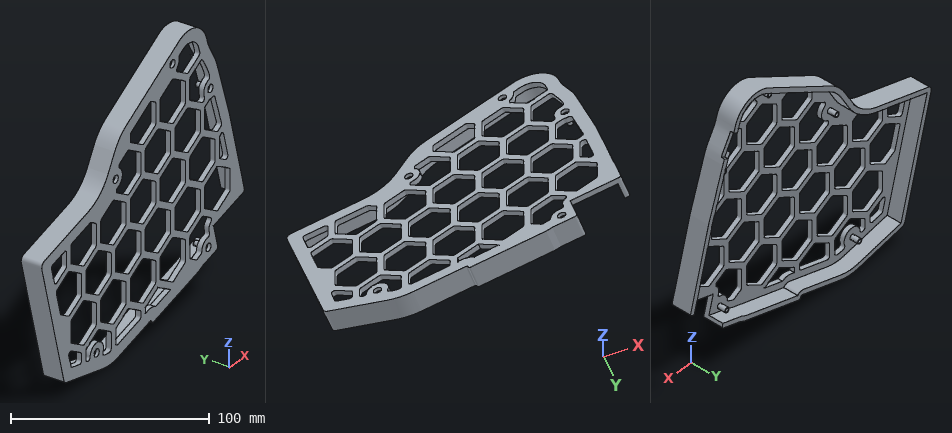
import cadquery as cq
import math

case_depth = 12.7
wall = 3.2
plate_thickness = 3.2
corner_radius = 1.6
case_tilt = 15.0

left_u = -86.2
right_u = 78.25
shoulder_v = 28.8
lower_left_v = -51.9
bend_u = -48.9
step_u = -11.3
step_v = -71.0
bottom_v = -73.5
foot_v = -72.8
foot_ramp_start_u = 32.0
foot_ramp_end_u = 35.5
right_kink_v = -4.4
left_corner_radius = 3.2
sweep_radius = 29.0
crown_radius = 17.1
bottom_bend_radius = 30.0
step_radius = 1.0
port_top_radius = 26.0
port_bottom_radius = 36.0

crown_slope = 15.0
rise_start_u = -30.8
rise_end_u = -8.4
rise_end_v = shoulder_v + rise_end_u - rise_start_u
crown_u = 72.4
crown_v = rise_end_v + (crown_u - rise_end_u) * math.tan(math.radians(crown_slope))

port_top = (crown_u, 47.1)
port_bottom = (76.1, 33.2)
port_depth = 2.2

cutout_u = 49.63
cutout_v = -57.4
cutout_margin = 4.3

cell_pitch = 26.37
cell_flats = 22.4
hexagon_turn = 30.0
cell_origin = (0.1, 0.2)
row_pitch = cell_pitch * math.sqrt(3) / 2
border = 7.5
cell_rows = [
    (-3, -3, 4),
    (-2, -2, 5),
    (-1, -3, 6),
    (0, -3, 7),
    (1, -1, 4),
    (2, 0, 3),
    (3, 1, 1),
]
sharp_cell = (-3, 0)

screw_places = [(-41.1, -68.1), (58.1, -52.9), (26.2, 67.6), (59.9, 37.9), (-24.2, 24.3)]
screw_hole = 2.2
screw_head = 4.4
screw_head_depth = 2.0
screw_post = 3.2
screw_post_end = 8.3
screw_boss_radius = 6.0


def tilted(u, v):
    """Turn a point from case coordinates to part X, Z."""
    angle = math.radians(case_tilt)
    return (u * math.cos(angle) - v * math.sin(angle), u * math.sin(angle) + v * math.cos(angle))


def rounded_outline(corners):
    """Closed outline through (u, v, radius) corners; radius 0 leaves the corner sharp."""
    stretches = []
    for i, (u, v, radius) in enumerate(corners):
        corner = cq.Vector(u, v)
        if radius == 0:
            stretches.append([corner])
            continue
        before = (cq.Vector(*corners[i - 1][:2]) - corner).normalized()
        after = (cq.Vector(*corners[(i + 1) % len(corners)][:2]) - corner).normalized()
        half_angle = before.getAngle(after) / 2
        setback = radius / math.tan(half_angle)
        bisector = (before + after).normalized()
        middle = corner + bisector * (radius / math.sin(half_angle) - radius)
        stretches.append([corner + before * setback, middle, corner + after * setback])
    points = [[tilted(p.x, p.y) for p in stretch] for stretch in stretches]
    outline = cq.Workplane("XZ").moveTo(*points[0][-1])
    for stretch in points[1:] + points[:1]:
        outline = outline.lineTo(*stretch[0])
        if len(stretch) == 3:
            outline = outline.threePointArc(*stretch[1:])
    return outline.close()


def case_outline(with_cutout):
    """Outline of the case, with or without the lower right cutout."""
    if with_cutout:
        lower_right = [
            (cutout_u, foot_v, corner_radius),
            (cutout_u, cutout_v, 0),
            (right_u, cutout_v, corner_radius),
        ]
    else:
        lower_right = [(right_u, foot_v, corner_radius)]
    return rounded_outline(
        [
            (left_u, shoulder_v, left_corner_radius),
            (left_u, lower_left_v, left_corner_radius),
            (bend_u, step_v, bottom_bend_radius),
            (step_u, step_v, step_radius),
            (step_u, bottom_v, step_radius),
            (foot_ramp_start_u, bottom_v, 0),
            (foot_ramp_end_u, foot_v, 0),
            *lower_right,
            (right_u, right_kink_v, 0),
            (*port_bottom, port_bottom_radius),
            (*port_top, port_top_radius),
            (crown_u, crown_v, crown_radius),
            (rise_end_u, rise_end_v, sweep_radius),
            (rise_start_u, shoulder_v, sweep_radius),
        ]
    )


def cavity():
    """Space behind the plate, inside the rim."""
    depth = case_depth - plate_thickness
    inside = case_outline(False).offset2D(-wall).extrude(-depth)
    return inside.translate((0, plate_thickness, 0))


def honeycomb_area():
    """Part of the plate that cells may open: clear of the border, cutout and screw bosses."""
    area = case_outline(False).offset2D(-border).extrude(-plate_thickness)
    far = case_depth + right_u - cutout_u
    cutout = [
        (cutout_u, cutout_v),
        (cutout_u + far, cutout_v),
        (cutout_u + far, cutout_v - far),
        (cutout_u, cutout_v - far),
    ]
    kept = cq.Workplane("XZ").polyline([tilted(*p) for p in cutout]).close()
    area = area.cut(kept.offset2D(cutout_margin).extrude(-plate_thickness))
    bosses = cq.Workplane("XZ").pushPoints(screw_places).circle(screw_boss_radius)
    return area.cut(bosses.extrude(-plate_thickness))


def cell(row, column, area):
    """One honeycomb opening, trimmed to the area and with rounded corners."""
    x = cell_origin[0] + (column + (row % 2) / 2) * cell_pitch
    z = cell_origin[1] + row * row_pitch
    across_corners = cell_flats / math.cos(math.radians(hexagon_turn))
    hexagon = cq.Workplane("XZ").polygon(6, across_corners).extrude(-plate_thickness)
    hexagon = hexagon.rotate((0, 0, 0), (0, 1, 0), hexagon_turn).translate((x, 0, z))
    opening = hexagon.intersect(area)
    if (row, column) == sharp_cell:
        return opening
    front_edge = opening.faces("<Y").wires().toPending()
    rounded = front_edge.offset2D(-corner_radius).offset2D(corner_radius)
    return rounded.extrude(-plate_thickness, combine=False)


def port():
    """Shallow opening in the back of the rim, through the wall along the flat right edge."""
    along = cq.Vector(*port_bottom) - cq.Vector(*port_top)
    inward = cq.Vector(along.y, -along.x).normalized() * wall
    outline = [
        cq.Vector(*port_top) - inward,
        cq.Vector(*port_top) + inward,
        cq.Vector(*port_bottom) + inward,
        cq.Vector(*port_bottom) - inward,
    ]
    opening = cq.Workplane("XZ").polyline([tilted(p.x, p.y) for p in outline]).close()
    return opening.extrude(-port_depth).translate((0, case_depth - port_depth, 0))


def screw_posts():
    """Round posts standing on the back of the plate behind the screw places."""
    posts = cq.Workplane("XZ").pushPoints(screw_places).circle(screw_post / 2)
    return posts.extrude(-screw_post_end)


def screw_holes():
    """Holes through the plate and posts, with round head recesses in the front face."""
    places = cq.Workplane("XZ").pushPoints(screw_places)
    heads = places.circle(screw_head / 2).extrude(-screw_head_depth)
    return places.circle(screw_hole / 2).extrude(-screw_post_end).union(heads)


result = case_outline(True).extrude(-case_depth).cut(cavity())
open_area = honeycomb_area()
for row_number, first_column, cell_count in cell_rows:
    for column_number in range(first_column, first_column + cell_count):
        result = result.cut(cell(row_number, column_number, open_area))
result = result.cut(port()).union(screw_posts()).cut(screw_holes())